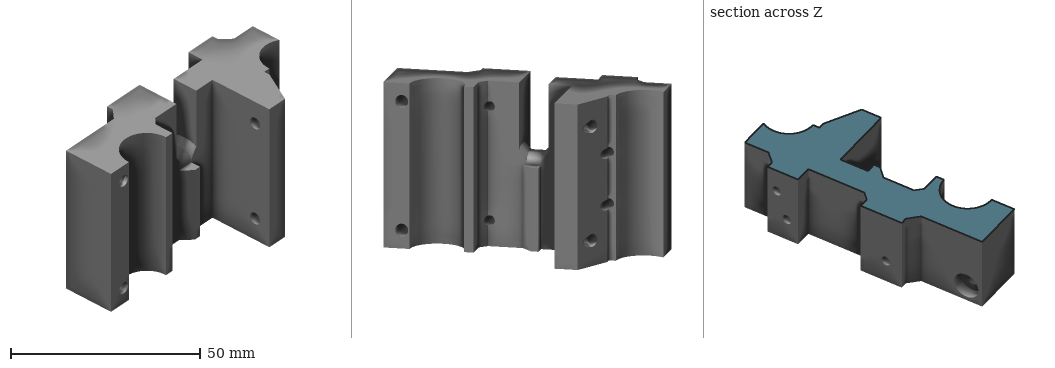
import cadquery as cq

HEIGHT = 45.0
LENGTH = 74.5
MID_Z = HEIGHT / 2

WEB_BACK = 5.0
WEB_FRONT = 13.0
WEB_THICKNESS = WEB_FRONT - WEB_BACK
CLAMP_FACE = 20.85
FLANGE_TIP = 33.0

LOWER_PAD_Y = (22.0, 35.0)
UPPER_PAD_Y = (54.5, 64.1)
PAD_CHAMFER_START = 2.1
PAD_CHAMFER = WEB_BACK - PAD_CHAMFER_START

ROD_RADIUS = 7.4
ROD_X = 20.65
LOWER_ROD_Y = 14.55
ROD_SPACING = 56.0
UPPER_ROD_Y = LOWER_ROD_Y + ROD_SPACING

LIP_Y = 24.5
LIP_CHAMFER = 2.0

FLANGE_BASE_Y = 49.4
FLANGE_TIP_Y = 55.65
FLANGE_SHOULDER_X = 22.7
FLANGE_SHOULDER_Y = 61.15

SLOT_START_Y = LOWER_PAD_Y[1]
SLOT_WIDTH = 7.95
SLOT_END_Y = SLOT_START_Y + SLOT_WIDTH
FLARE = 2.0
SADDLE_RADIUS = 3.0
SADDLE_SIDE_HEIGHT = 22.7

HOOK_X = 16.0
HOOK_TIP_WIDTH = 2.0
HOOK_END_Y = SLOT_END_Y - FLARE
HOOK_REACH = HOOK_X - WEB_FRONT

CORNER_HOLE_SPACING = 31.0
PAD_HOLE_DIAMETER = 2.8
CORNER_HOLE_Y = 27.0
INNER_HOLE_SPACING = 14.0
INNER_HOLE_Y = 61.2
FLANGE_HOLE_DIAMETER = 3.6
FLANGE_HOLE_X = 28.0
CLAMP_HOLE_SPACING = 35.0
CLAMP_HOLE_Y = 5.0
CLAMP_HOLE_DIAMETER = 3.5
COUNTERBORE_DIAMETER = 7.6
COUNTERBORE_DEPTH = 3.2


def prism(points, height=HEIGHT):
    return cq.Workplane("XY").polyline(points).close().extrude(height)


def lower_half():
    pad_start, pad_end = LOWER_PAD_Y
    return prism([
        (WEB_BACK, 0),
        (CLAMP_FACE, 0),
        (CLAMP_FACE, LIP_Y),
        (WEB_FRONT + LIP_CHAMFER, LIP_Y),
        (WEB_FRONT, LIP_Y + LIP_CHAMFER),
        (WEB_FRONT, pad_end),
        (0, pad_end),
        (0, pad_start),
        (PAD_CHAMFER_START, pad_start),
        (WEB_BACK, pad_start - PAD_CHAMFER),
    ])


def upper_half():
    pad_start, pad_end = UPPER_PAD_Y
    return prism([
        (WEB_BACK, SLOT_END_Y),
        (WEB_FRONT, SLOT_END_Y),
        (WEB_FRONT, FLANGE_BASE_Y),
        (FLANGE_TIP, FLANGE_BASE_Y),
        (FLANGE_TIP, FLANGE_TIP_Y),
        (FLANGE_SHOULDER_X, FLANGE_SHOULDER_Y),
        (CLAMP_FACE, FLANGE_SHOULDER_Y),
        (CLAMP_FACE, LENGTH),
        (WEB_BACK, LENGTH),
        (WEB_BACK, pad_end + PAD_CHAMFER),
        (PAD_CHAMFER_START, pad_end),
        (0, pad_end),
        (0, pad_start),
        (WEB_BACK, pad_start),
    ])


def rod_channel(y):
    return cq.Workplane("XY").center(ROD_X, y).circle(ROD_RADIUS).extrude(HEIGHT)


def saddle_section(y, grow):
    """Closed XZ wire at the given Y: the web with a rounded top, offset outward by grow."""
    radius = SADDLE_RADIUS + grow
    left = WEB_BACK - grow
    right = WEB_FRONT + grow
    top = SADDLE_SIDE_HEIGHT + radius
    return (
        cq.Workplane("XZ", origin=(0, y, 0))
        .moveTo(left, 0)
        .lineTo(left, SADDLE_SIDE_HEIGHT)
        .radiusArc((left + radius, top), radius)
        .lineTo(right - radius, top)
        .radiusArc((right, SADDLE_SIDE_HEIGHT), radius)
        .lineTo(right, 0)
        .close()
        .wires()
        .val()
    )


def saddle_loft(start_y, start_grow, end_y, end_grow):
    """Ruled solid between two saddle sections, trimmed at the +X face of the web."""
    sections = [saddle_section(start_y, start_grow), saddle_section(end_y, end_grow)]
    solid = cq.Workplane(obj=cq.Solid.makeLoft(sections, True))
    trim = cq.Workplane("XY").box(WEB_FRONT, LENGTH, HEIGHT, centered=False)
    return solid.intersect(trim)


def saddle():
    neck_start = SLOT_START_Y + FLARE
    neck_end = SLOT_END_Y - FLARE
    web_trim = (
        cq.Workplane("XY", origin=(WEB_BACK, 0, 0))
        .box(WEB_THICKNESS, LENGTH, HEIGHT, centered=False)
    )
    lower_flare = saddle_loft(SLOT_START_Y, FLARE, neck_start, 0)
    neck = saddle_loft(neck_start, 0, neck_end, 0)
    upper_flare = saddle_loft(neck_end, 0, SLOT_END_Y, FLARE).intersect(web_trim)
    return lower_flare.union(neck).union(upper_flare)


def hook():
    tip_start = HOOK_END_Y - HOOK_TIP_WIDTH
    return prism([
        (WEB_FRONT, HOOK_END_Y),
        (HOOK_X, HOOK_END_Y),
        (HOOK_X, tip_start),
        (WEB_FRONT, tip_start - HOOK_REACH),
    ], SADDLE_SIDE_HEIGHT)


def hole_pair(workplane, spacing, diameter, depth):
    """Two cylinders spaced along Z, equally far above and below the workplane origin."""
    offset = spacing / 2
    return (
        workplane
        .pushPoints([(0, -offset), (0, offset)])
        .circle(diameter / 2)
        .extrude(depth)
    )


def hole_pair_along_x(y, spacing, diameter, start_x=0, depth=FLANGE_TIP):
    workplane = cq.Workplane("YZ", origin=(start_x, y, MID_Z))
    return hole_pair(workplane, spacing, diameter, depth)


def flange_holes():
    workplane = cq.Workplane("XZ", origin=(FLANGE_HOLE_X, LENGTH, MID_Z))
    return hole_pair(workplane, CORNER_HOLE_SPACING, FLANGE_HOLE_DIAMETER, LENGTH - FLANGE_BASE_Y)


def clamp_holes():
    through = hole_pair_along_x(CLAMP_HOLE_Y, CLAMP_HOLE_SPACING, CLAMP_HOLE_DIAMETER)
    counterbores = hole_pair_along_x(
        CLAMP_HOLE_Y, CLAMP_HOLE_SPACING, COUNTERBORE_DIAMETER, WEB_BACK, COUNTERBORE_DEPTH
    )
    return through.union(counterbores)


result = lower_half().union(upper_half()).union(saddle()).union(hook())

for rod_y in (LOWER_ROD_Y, UPPER_ROD_Y):
    result = result.cut(rod_channel(rod_y))

for hole_y in (CORNER_HOLE_Y, CORNER_HOLE_Y + CORNER_HOLE_SPACING):
    result = result.cut(hole_pair_along_x(hole_y, CORNER_HOLE_SPACING, PAD_HOLE_DIAMETER))
result = result.cut(hole_pair_along_x(INNER_HOLE_Y, INNER_HOLE_SPACING, PAD_HOLE_DIAMETER))

result = result.cut(flange_holes())
result = result.cut(clamp_holes())